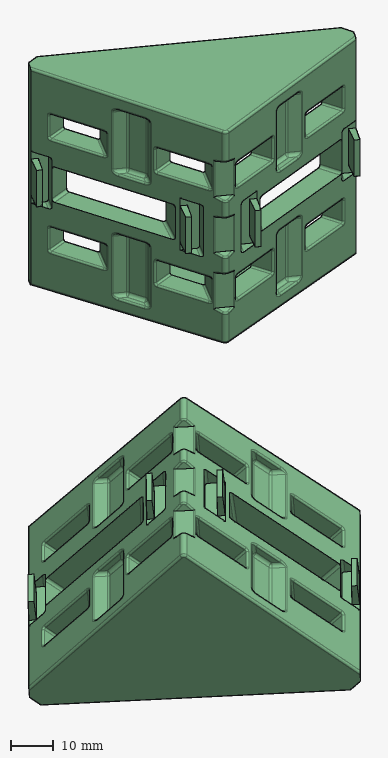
import cadquery as cq
import math


leg_length = 57.05
leg_end_height = 5.6
leg_end_chamfer = 2.0
body_height = 58.0
draft_angle = 1.0
rim_fillet = 0.6
corner_fillet = 1.15

leg_thickness = 6.2
cavity_height = 49.2
cavity_fillet = 0.75
notch_places = (-20.75, -42.1)
notch_width = 4.6
notch_depth = 4.9
notch_reach = 0.8

window_spans = ((-49.9, -33.5), (-19.95, -3.9))
window_lean = 45.0
window_height = 6.45
window_level = 15.0
mouth_fillet = 0.5
slot_span = (-49.05, -14.35)
slot_lean = 47.5
slot_height = 9.4
window_corner_radius = 0.5
slot_corner_radius = 0.75

pocket_centre = -26.7
pocket_width = 10.85
pocket_height = 17.0
pocket_level = 16.55
pocket_depth = 2.7
pocket_floor_fillet = 0.9

relief_setback = 3.35
relief_floor_height = 9.3
relief_level = 14.9
relief_taper = 17.0

groove_spans = ((-leg_length + leg_end_chamfer, -49.05), (-13.05, -6.35))
tab_reach = 3.95
tab_height = 9.7
tab_root_thickness = 1.85
tab_tip_thickness = 1.4
groove_height = 13.8
groove_fillet = 0.75

slope_offset = leg_length + leg_end_height
slope_depth = slope_offset / math.sqrt(2)
margin = 6.1
overlap = 0.6


def mirror_legs(shape):
    """The shape with front and side leg exchanged."""
    return shape.mirror((1, 1, 0), (0, 0, 0))


def prism(points, height, level=0.0):
    """Upright prism over a plan outline, centred on the given level."""
    base = cq.Workplane("XY").workplane(offset=level - height / 2)
    return base.polyline(points).close().extrude(height)


def drafted_slab(open_height):
    """Slab of the given height at the sloping side, thinning towards the outer corner."""
    middle = (-slope_offset / 2, slope_offset / 2, 0)
    diagonal = cq.Plane(origin=middle, xDir=(1, -1, 0), normal=(-1, -1, 0))
    slope = math.tan(math.radians(draft_angle))
    depth = slope_depth + margin
    wide = open_height / 2 + margin * slope
    narrow = open_height / 2 - depth * slope
    outline = [(-margin, -wide), (depth, -narrow), (depth, narrow), (-margin, wide)]
    return cq.Workplane(diagonal).polyline(outline).close().extrude(slope_offset, both=True)


def make_body():
    outline = [
        (0, 0),
        (0, leg_length - leg_end_chamfer),
        (-leg_end_chamfer, leg_length),
        (-leg_end_height, leg_length),
        (-leg_length, leg_end_height),
        (-leg_length, leg_end_chamfer),
        (-leg_length + leg_end_chamfer, 0),
    ]
    body = prism(outline, body_height + margin).intersect(drafted_slab(body_height))
    body = body.edges(cq.NearestToPointSelector((0, 0, 0))).fillet(corner_fillet)
    front_rims = body.faces("<Y").edges("not |Z")
    return front_rims.fillet(rim_fillet)


def make_cavity():
    reach = slope_offset + margin
    outline = [
        (-leg_thickness, leg_thickness),
        (-leg_thickness, reach),
        (-reach, reach),
        (-reach, leg_thickness),
    ]
    cavity = prism(outline, body_height).intersect(drafted_slab(cavity_height))
    inner_edges = cavity.faces(">X or <Y").edges()
    return inner_edges.fillet(cavity_fillet)


def make_rim_notches():
    """Small notches in both rims of the cavity, along the sloping side."""
    notches = cq.Workplane("XY")
    for x in notch_places:
        notch = cq.Workplane("XY").box(2 * notch_depth, notch_width, cavity_height + 2 * notch_reach)
        notch = notch.rotate((0, 0, 0), (0, 0, 1), -45)
        notches = notches.union(notch.translate((x, x + slope_offset, 0)))
    return notches


def leg_opening(span, lean, height, level, corner_radius):
    """Opening through the front leg; its wall nearer the corner leans away from it."""
    far, near = span
    depth = leg_thickness + overlap
    run = depth * math.tan(math.radians(lean))
    outline = [(far, 0), (near, 0), (near - run, depth), (far, depth)]
    opening = prism(outline, height, level)
    return opening.edges("not |Z").edges("not |X").fillet(corner_radius)


def make_pocket(level):
    """Pocket with 45 degree long walls and rounded floor edges."""
    half = pocket_width / 2
    floor_half = half - pocket_depth
    outline = [
        (pocket_centre - half, 0),
        (pocket_centre - floor_half, pocket_depth),
        (pocket_centre + floor_half, pocket_depth),
        (pocket_centre + half, 0),
    ]
    pocket = prism(outline, pocket_height, level)
    return pocket.edges("not <Y").fillet(pocket_floor_fillet)


def round_mouths(body):
    """Round every edge where an opening breaks through the front leg's face."""
    leg_face = body.faces("<Y").val()
    mouth_edges = [edge for wire in leg_face.innerWires() for edge in wire.Edges()]
    return body.newObject(mouth_edges).fillet(mouth_fillet)


def make_relief(level):
    """Notch across the outer corner with sloping ends."""
    inner = relief_setback / 2
    floor = cq.Plane(origin=(-inner, inner, level), xDir=(1, 1, 0), normal=(1, -1, 0))
    length = relief_setback * math.sqrt(2) + 2 * margin
    return cq.Workplane(floor).rect(length, relief_floor_height).extrude(relief_setback, taper=-relief_taper)


def round_relief(body, level):
    """Round every edge of a relief except the two ends of its floor."""
    slack = 0.1
    end_slope = relief_setback / math.sqrt(2) * math.tan(math.radians(relief_taper))
    half_height = relief_floor_height / 2 + end_slope + slack
    low = (-relief_setback - slack, -slack, level - half_height)
    high = (slack, relief_setback + slack, level + half_height)
    edges = body.edges(cq.selectors.BoxSelector(low, high))
    floor_ends = cq.selectors.ParallelDirSelector(cq.Vector(1, 1, 0))
    return edges.edges(cq.selectors.InverseSelector(floor_ends)).fillet(mouth_fillet)


def make_groove(span):
    """V groove with 45 degree flanks between the given X places."""
    far, near = span
    half = (near - far) / 2
    groove = prism([(far, 0), (far + half, half), (near, 0)], groove_height)
    return groove.faces(">X").edges("not |Z").fillet(groove_fillet)


def make_tab(root):
    """Tapered tab leaning 45 degrees towards the corner, rooted on the outer groove flank."""
    side_taper = (tab_root_thickness - tab_tip_thickness) / 2
    length = tab_reach * math.sqrt(2) + side_taper
    tab_plane = cq.Plane(origin=(root, 0, 0), xDir=(1, -1, 0), normal=(0, 0, 1))
    outline = [
        (-overlap, 0),
        (length, side_taper),
        (length, side_taper + tab_tip_thickness),
        (-overlap, tab_root_thickness),
    ]
    return cq.Workplane(tab_plane).polyline(outline).close().extrude(tab_height / 2, both=True)


body = make_body().cut(make_cavity()).cut(make_rim_notches())
for side in (-1, 1):
    for span in window_spans:
        level = side * window_level
        body = body.cut(leg_opening(span, window_lean, window_height, level, window_corner_radius))
    body = body.cut(make_pocket(side * pocket_level))
body = round_mouths(body)

body = body.cut(leg_opening(slot_span, slot_lean, slot_height, 0, slot_corner_radius))
for span in groove_spans:
    body = body.cut(make_groove(span))
body = body.intersect(mirror_legs(body))

for level in (-relief_level, 0, relief_level):
    body = body.cut(make_relief(level))
    body = round_relief(body, level)

tabs = cq.Workplane("XY")
for span in groove_spans:
    tabs = tabs.union(make_tab(span[0]))
result = body.union(tabs).union(mirror_legs(tabs))